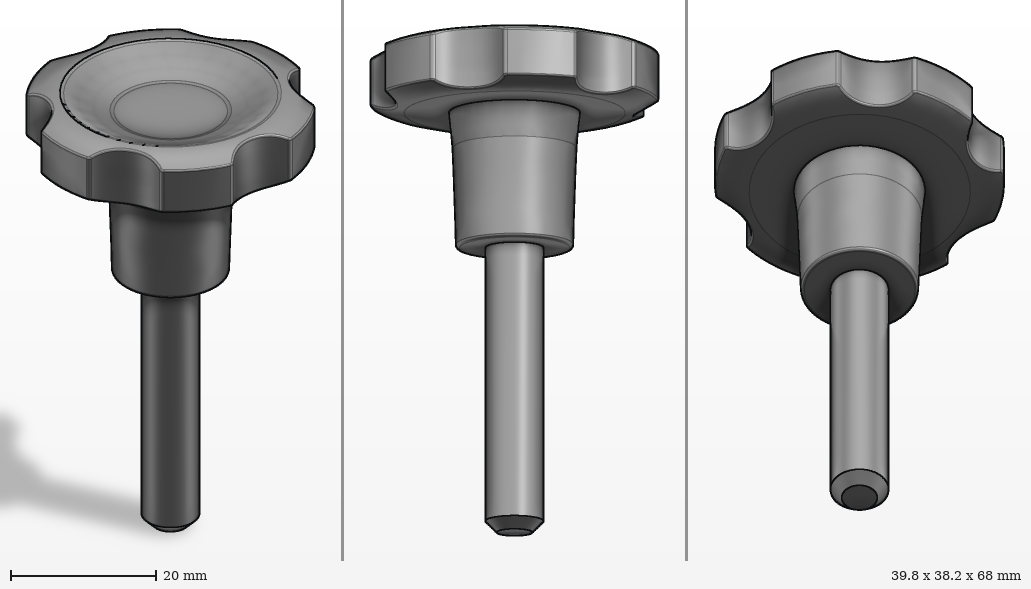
import cadquery as cq
import math

total_height = 68.0
hub_bottom = 40.0
hub_seam = 54.0
head_bottom = 58.95
rim_bottom = 60.3
rim_top = 66.85

stem_radius = 8.0 / 2
tip_radius = 2.45
tip_height = 1.55

hub_bottom_radius = 8.1
hub_seam_radius = 8.6
hub_top_radius = 9.05
hub_edge_round = 0.5

rim_radius = 19.9
flat_radius = 15.2
crown_sag = 0.3
lip_inner_radius = 14.75
lip_drop = 0.15
dish_depth = 2.85
dish_floor_radius = 7.8
dish_wall_radius = 8.35
dish_corner_rise = 0.15
dish_wall_sag = 0.3
dish_round_sag = 0.035

groove_count = 6
groove_radius = 6.8
groove_floor = 16.8
horn_round = 0.7
edge_round = 0.35


def bulged_point(start, end, sag):
    """Midpoint of a chord, pushed out to the right of its direction by sag."""
    dx = end[0] - start[0]
    dz = end[1] - start[1]
    length = math.hypot(dx, dz)
    mid_x = (start[0] + end[0]) / 2
    mid_z = (start[1] + end[1]) / 2
    return (mid_x + sag * dz / length, mid_z - sag * dx / length)


def make_head_blank():
    """Turned disc with a gently crowned top and bottom.

    The YZ sketch plane puts the seam of the turned faces inside a finger groove.
    """
    bottom_flat = (flat_radius, head_bottom)
    lower_rim = (rim_radius, rim_bottom)
    upper_rim = (rim_radius, rim_top)
    top_flat = (flat_radius, total_height)
    return (
        cq.Workplane("YZ")
        .moveTo(0, head_bottom)
        .lineTo(*bottom_flat)
        .threePointArc(bulged_point(bottom_flat, lower_rim, crown_sag), lower_rim)
        .lineTo(*upper_rim)
        .threePointArc(bulged_point(upper_rim, top_flat, crown_sag), top_flat)
        .lineTo(0, total_height)
        .close()
        .revolve(360, (0, 0), (0, 1))
    )


def is_outline_edge(edge):
    """True for edges on the fluted outline, not for those nearer the axis."""
    centre = edge.Center()
    return math.hypot(centre.x, centre.y) > groove_floor


def cut_grooves(head):
    """Cut the finger grooves, then round the horns and all outer edges."""
    grooves = (
        cq.Workplane("XY")
        .workplane(offset=head_bottom)
        .polarArray(groove_floor + groove_radius, 90, 360, groove_count)
        .circle(groove_radius)
        .extrude(total_height - head_bottom)
    )
    head = head.cut(grooves)
    head = head.edges("|Z").fillet(horn_round)
    outline_edges = head.edges("not |Z").filter(is_outline_edge)
    return outline_edges.fillet(edge_round)


def make_dish():
    """Bowl-shaped cutter with a flat floor."""
    floor_height = total_height - dish_depth
    floor_edge = (dish_floor_radius, floor_height)
    wall_foot = (dish_wall_radius, floor_height + dish_corner_rise)
    wall_top = (lip_inner_radius, total_height - lip_drop)
    lip = (flat_radius, total_height)
    return (
        cq.Workplane("XZ")
        .moveTo(0, floor_height)
        .lineTo(*floor_edge)
        .threePointArc(bulged_point(floor_edge, wall_foot, dish_round_sag), wall_foot)
        .threePointArc(bulged_point(wall_foot, wall_top, dish_wall_sag), wall_top)
        .threePointArc(bulged_point(wall_top, lip, -dish_round_sag), lip)
        .lineTo(0, total_height)
        .close()
        .revolve(360, (0, 0), (0, 1))
    )


def make_hub():
    """Tapered hub that flares towards the head, rounded at its lower edge."""
    return (
        cq.Workplane("XZ")
        .moveTo(0, hub_bottom)
        .lineTo(hub_bottom_radius, hub_bottom)
        .lineTo(hub_seam_radius, hub_seam)
        .lineTo(hub_top_radius, head_bottom)
        .lineTo(0, head_bottom)
        .close()
        .revolve(360, (0, 0), (0, 1))
        .faces("<Z")
        .edges()
        .fillet(hub_edge_round)
    )


def make_stem():
    """Plain round stem with a chamfered tip."""
    return (
        cq.Workplane("XY")
        .circle(stem_radius)
        .extrude(hub_bottom)
        .faces("<Z")
        .chamfer(tip_height, stem_radius - tip_radius)
    )


head = cut_grooves(make_head_blank())
result = head.cut(make_dish()).union(make_hub()).union(make_stem())